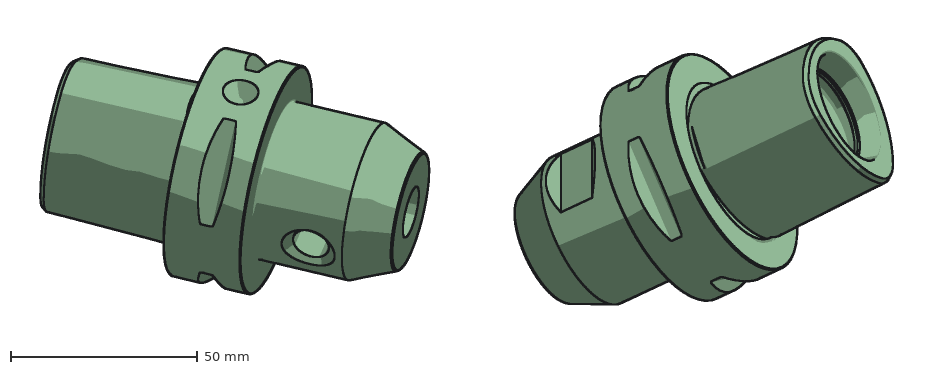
import cadquery as cq
import math


SHANK_CHAMFER_END = 1.3
TAPER_END = 35.9
FLANGE_START = 38.2
FLANGE_END = 60.1
NOSE_CONE_START = 85.6
LENGTH = 98.0

LOBE_CENTER = 10.6
LOBE_RADIUS = 12.9
TAPER_PER_SIDE = 1 / 40
TAPER_OFFSET = (TAPER_END - SHANK_CHAMFER_END) * TAPER_PER_SIDE
CHAMFER_OFFSET = 0.9
COLLAR_RADIUS = 22.8
COLLAR_HEIGHT = 0.4
COLLAR_FOOT_RADIUS = 24.2

FLANGE_RADIUS = 63.0 / 2
FLANGE_CHAMFER = 0.3
NOSE_RADIUS = 43.5 / 2
NOSE_FILLET = 0.6
NOSE_TIP_RADIUS = 16.5
TIP_CHAMFER = 0.4

SLOT_X = 50.0
SLOT_FLOOR = 27.9
SLOT_FLOOR_WIDTH = 3.5
SLOT_WALL_ANGLE = 30
SLOT_CORNER_RADIUS = 0.6
DIMPLE_RADIUS = 4.8

MOUTH_RADIUS = 16.4
MOUTH_FILLET = 0.8
SEAT_END = 6.5
SEAT_RADIUS = 14.0
LIP_START = 6.9
LIP_RADIUS = 13.5
LIP_END = 7.8
GROOVE_RADIUS = 32.0 / 2
GROOVE_START = 8.8
GROOVE_EXIT = 13.6
GROOVE_EXIT_WIDTH = 1.5
GROOVE_CORNER_RADIUS = 1.7
CAVITY_RADIUS = 28.0 / 2
CAVITY_END = 33.3
STEP_RADIUS = 17.8 / 2
STEP_CHAMFER = 1.0
STEP_END = 45.1
STEP_CONE_HALF_ANGLE = 59
BORE_RADIUS = 14.0 / 2

SCREW_X = 76.0
SCREW_RADIUS = 10.1 / 2
SCREW_SINK_START = 19.3
NOTCH_FLOOR = 18.8
NOTCH_FLOOR_WIDTH = 2 * SCREW_RADIUS
NOTCH_WALL_ANGLE = 45


def polar(radius, degrees):
    """Point at an angle measured from +Y towards +Z."""
    angle = math.radians(degrees)
    return radius * math.cos(angle), radius * math.sin(angle)


def lobed_wire(x, offset):
    """Three-lobed section at station x, with a lobe on +Z, moved inwards by offset."""
    lobe_radius = LOBE_RADIUS - offset
    flank_middle = LOBE_CENTER * (math.sqrt(3) - 1) + lobe_radius

    def lobe_point(lobe_angle, direction):
        cy, cz = polar(LOBE_CENTER, lobe_angle)
        dy, dz = polar(lobe_radius, direction)
        return cy + dy, cz + dz

    wire = cq.Workplane("YZ", origin=(x, 0, 0)).moveTo(*lobe_point(90, 60))
    for lobe_angle in (90, 210, 330):
        wire = wire.threePointArc(
            polar(LOBE_CENTER + lobe_radius, lobe_angle), lobe_point(lobe_angle, lobe_angle + 30)
        )
        wire = wire.threePointArc(
            polar(flank_middle, lobe_angle + 60), lobe_point(lobe_angle + 120, lobe_angle + 90)
        )
    return wire.close().wires().val()


def ruled(first, second):
    return cq.Workplane(cq.Solid.makeLoft([first, second], True))


def revolve(profile):
    """Turn a profile of (x, radius) about the X axis."""
    return profile.close().revolve(360, (0, 0, 0), (1, 0, 0))


def shank():
    tip = lobed_wire(0, TAPER_OFFSET + CHAMFER_OFFSET)
    small = lobed_wire(SHANK_CHAMFER_END, TAPER_OFFSET)
    large = lobed_wire(TAPER_END, 0)
    root_end = lobed_wire(FLANGE_START, 0)
    lobe_tip = LOBE_CENTER + LOBE_RADIUS
    root_limit = revolve(
        cq.Workplane("XY")
        .moveTo(TAPER_END, 0)
        .lineTo(TAPER_END, lobe_tip)
        .lineTo(TAPER_END + lobe_tip - COLLAR_RADIUS, COLLAR_RADIUS)
        .lineTo(FLANGE_START, COLLAR_RADIUS)
        .lineTo(FLANGE_START, 0)
    )
    root = ruled(large, root_end).intersect(root_limit)
    return ruled(tip, small).union(ruled(small, large)).union(root)


def flange_and_nose():
    """Turned body; a low collar around the shank sweeps out tangent to the flange face."""
    foot_width = COLLAR_FOOT_RADIUS - COLLAR_RADIUS
    sweep_radius = (foot_width**2 + COLLAR_HEIGHT**2) / (2 * COLLAR_HEIGHT)
    half_sweep = math.asin(foot_width / sweep_radius) / 2
    sweep_middle = (
        FLANGE_START - sweep_radius * (1 - math.cos(half_sweep)),
        COLLAR_FOOT_RADIUS - sweep_radius * math.sin(half_sweep),
    )
    fillet = NOSE_FILLET * (1 - math.sqrt(0.5))
    profile = (
        cq.Workplane("XY")
        .moveTo(FLANGE_START - COLLAR_HEIGHT, 0)
        .lineTo(FLANGE_START - COLLAR_HEIGHT, COLLAR_RADIUS)
        .threePointArc(sweep_middle, (FLANGE_START, COLLAR_FOOT_RADIUS))
        .lineTo(FLANGE_START, FLANGE_RADIUS - FLANGE_CHAMFER)
        .lineTo(FLANGE_START + FLANGE_CHAMFER, FLANGE_RADIUS)
        .lineTo(FLANGE_END - FLANGE_CHAMFER, FLANGE_RADIUS)
        .lineTo(FLANGE_END, FLANGE_RADIUS - FLANGE_CHAMFER)
        .lineTo(FLANGE_END, NOSE_RADIUS + NOSE_FILLET)
        .threePointArc(
            (FLANGE_END + fillet, NOSE_RADIUS + fillet), (FLANGE_END + NOSE_FILLET, NOSE_RADIUS)
        )
        .lineTo(NOSE_CONE_START, NOSE_RADIUS)
        .lineTo(LENGTH - TIP_CHAMFER, NOSE_TIP_RADIUS)
        .lineTo(LENGTH, NOSE_TIP_RADIUS - TIP_CHAMFER)
        .lineTo(LENGTH, 0)
    )
    return revolve(profile)


def bore():
    """Clamping cavity in the shank, stepping down to the through bore."""
    mouth = MOUTH_FILLET * (1 - math.sqrt(0.5))
    step_cone = (STEP_RADIUS - BORE_RADIUS) / math.tan(math.radians(STEP_CONE_HALF_ANGLE))
    corner_end = GROOVE_EXIT - GROOVE_EXIT_WIDTH
    profile = (
        cq.Workplane("XY")
        .lineTo(0, MOUTH_RADIUS)
        .threePointArc(
            (mouth, MOUTH_RADIUS - MOUTH_FILLET + mouth), (MOUTH_FILLET, MOUTH_RADIUS - MOUTH_FILLET)
        )
        .lineTo(SEAT_END, SEAT_RADIUS)
        .lineTo(LIP_START, LIP_RADIUS)
        .lineTo(LIP_END, LIP_RADIUS)
        .lineTo(GROOVE_START, GROOVE_RADIUS)
        .lineTo(corner_end - GROOVE_CORNER_RADIUS * math.sqrt(0.5), GROOVE_RADIUS)
        .tangentArcPoint((corner_end, CAVITY_RADIUS + GROOVE_EXIT_WIDTH), relative=False)
        .lineTo(GROOVE_EXIT, CAVITY_RADIUS)
        .lineTo(CAVITY_END, CAVITY_RADIUS)
        .lineTo(CAVITY_END, STEP_RADIUS + STEP_CHAMFER)
        .lineTo(CAVITY_END + STEP_CHAMFER, STEP_RADIUS)
        .lineTo(STEP_END, STEP_RADIUS)
        .lineTo(STEP_END + step_cone, BORE_RADIUS)
        .lineTo(LENGTH, BORE_RADIUS)
        .lineTo(LENGTH, 0)
    )
    return revolve(profile)


def flared_channel(x, floor, floor_width, wall_angle, top, length):
    """Channel on the +Y side running along Z, its walls leaning outwards by wall_angle."""
    half_floor = floor_width / 2
    half_top = half_floor + (top - floor) * math.tan(math.radians(wall_angle))
    outline = [
        (x - half_floor, floor),
        (x + half_floor, floor),
        (x + half_top, top),
        (x - half_top, top),
    ]
    return cq.Workplane("XY").polyline(outline).close().extrude(length / 2, both=True)


def gripper_slots():
    slot = flared_channel(
        SLOT_X, SLOT_FLOOR, SLOT_FLOOR_WIDTH, SLOT_WALL_ANGLE, FLANGE_RADIUS, 2 * FLANGE_RADIUS
    )
    slot = slot.faces("<Y").edges("|Z").fillet(SLOT_CORNER_RADIUS)
    slots = cq.Workplane()
    for angle in (45, 135, 225, 315):
        slots = slots.add(slot.rotate((0, 0, 0), (1, 0, 0), angle))
    return slots.combine()


def index_dimple():
    """Cone with a right-angled point, sunk into the flange rim on +Z."""
    base = cq.Vector(SLOT_X, 0, FLANGE_RADIUS)
    inward = cq.Vector(0, 0, -1)
    return cq.Workplane(cq.Solid.makeCone(DIMPLE_RADIUS, 0, DIMPLE_RADIUS, base, inward))


def screw_hole():
    """Hole from -Y into the bore, with a 45 degree countersink."""
    outward = cq.Vector(0, -1, 0)
    hole = cq.Solid.makeCylinder(SCREW_RADIUS, NOSE_RADIUS, cq.Vector(SCREW_X, 0, 0), outward)
    sink_depth = NOSE_RADIUS - SCREW_SINK_START
    sink_base = cq.Vector(SCREW_X, -SCREW_SINK_START, 0)
    sink = cq.Solid.makeCone(SCREW_RADIUS, SCREW_RADIUS + sink_depth, sink_depth, sink_base, outward)
    return cq.Workplane(hole).union(cq.Workplane(sink))


def balancing_notch():
    return flared_channel(
        SCREW_X, NOTCH_FLOOR, NOTCH_FLOOR_WIDTH, NOTCH_WALL_ANGLE, NOSE_RADIUS, 2 * NOSE_RADIUS
    )


result = (
    flange_and_nose()
    .union(shank())
    .cut(bore())
    .cut(gripper_slots())
    .cut(index_dimple())
    .cut(screw_hole())
    .cut(balancing_notch())
)